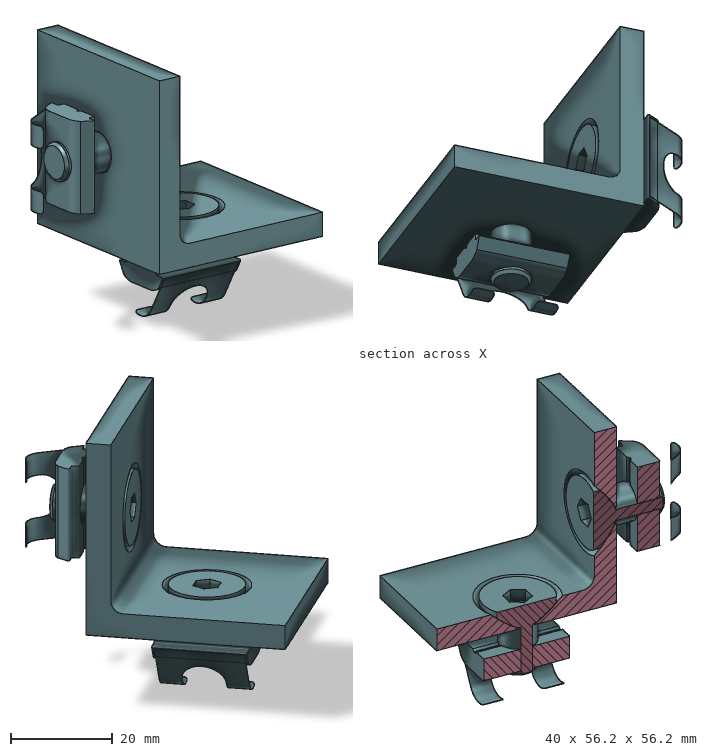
import cadquery as cq
import math


leg_length = 40.0
bracket_width = leg_length
plate_thickness = 5.0
bend_radius = 2.55
screw_offset = leg_length / 2

thread_diameter = 8.0
tip_diameter = 6.8
tip_length = 0.7
head_diameter = 15.2
screw_length = 16.0
head_rise = 0.15
plain_shank_depth = 1.0
socket_width = 5.0
socket_depth = 2.55
socket_point_depth = 0.85

hole_diameter = 8.4
countersink_diameter = 17.6

nut_length = 19.15
nut_top_depth = 4.6
ledge_depth = 6.1
shoulder_depth = 8.65
nut_bottom_depth = 9.7
neck_half_width = 5.0
neck_corner_radius = 0.15
ledge_half_width = 7.2
ledge_tip_radius = 0.2
ledge_root_radius = 0.4
bottom_half_width = 3.0
flank_tilt = math.radians(30)
groove_half_width = 0.75
groove_depth = 0.5
groove_wall_depth = 0.45

spring_thickness = 0.1
spring_length = 18.15
spring_bottom_depth = 16.2
spring_bend_radius = 4.05
spring_end_x = -2.85
spring_corner_radius = 0.85
notch_radius = 4.45


def flank_x(depth):
    """Half width of the nut at a depth on its straight tilted flank."""
    return ledge_half_width - (depth - ledge_depth) * math.tan(flank_tilt)


def make_screw_hole():
    """Cutter for the countersunk hole through a plate."""
    hole_radius = hole_diameter / 2
    sink_radius = countersink_diameter / 2
    cone_bottom = plate_thickness - (sink_radius - hole_radius)
    return (
        cq.Workplane("XZ")
        .polyline([
            (0, 0),
            (hole_radius, 0),
            (hole_radius, cone_bottom),
            (sink_radius, plate_thickness),
            (0, plate_thickness),
        ])
        .close()
        .revolve(360, (0, 0), (0, 1))
    )


def make_bracket():
    inner_length = leg_length - plate_thickness
    angle = (
        cq.Workplane("YZ")
        .rect(leg_length, leg_length, centered=False)
        .extrude(bracket_width / 2, both=True)
    )
    inside = (
        cq.Workplane("YZ", origin=(0, plate_thickness, plate_thickness))
        .rect(inner_length, inner_length, centered=False)
        .extrude(bracket_width / 2, both=True)
        .edges("|X and <Y and <Z")
        .fillet(bend_radius)
    )
    bracket = angle.cut(inside)
    for hole in place_on_plates(make_screw_hole()):
        bracket = bracket.cut(cq.Workplane(hole))
    return bracket


def make_screw():
    head_top = plate_thickness + head_rise
    thread_radius = thread_diameter / 2
    head_radius = head_diameter / 2
    tip_radius = tip_diameter / 2
    tip_z = head_top - screw_length
    rim_bottom = plate_thickness - (countersink_diameter / 2 - head_radius)
    body = (
        cq.Workplane("XZ")
        .polyline([
            (0, tip_z),
            (tip_radius, tip_z),
            (thread_radius, tip_z + tip_length),
            (thread_radius, -plain_shank_depth),
            (thread_radius, rim_bottom - (head_radius - thread_radius)),
            (head_radius, rim_bottom),
            (head_radius, head_top),
            (0, head_top),
        ])
        .close()
        .revolve(360, (0, 0), (0, 1), clean=False)
    )
    return body.cut(make_socket(head_top), clean=False)


def make_socket(head_top):
    """Cutter for the hexagon socket, which ends in a conical drill point."""
    corner_radius = socket_width / 2 / math.cos(math.pi / 6)
    full_depth = socket_depth + socket_point_depth
    hexagon = (
        cq.Workplane("XY", origin=(0, 0, head_top - full_depth))
        .polygon(6, 2 * corner_radius)
        .extrude(full_depth)
    )
    drilled = (
        cq.Workplane("XZ")
        .polyline([
            (0, head_top - full_depth),
            (corner_radius, head_top - socket_depth),
            (corner_radius, head_top),
            (0, head_top),
        ])
        .close()
        .revolve(360, (0, 0), (0, 1))
    )
    return hexagon.intersect(drilled)


def make_nut_block():
    shoulder_half_width = flank_x(shoulder_depth)
    floor_to_shoulder = nut_bottom_depth - shoulder_depth
    curve_width = shoulder_half_width - bottom_half_width
    curve_radius = (curve_width**2 + floor_to_shoulder**2) / (2 * floor_to_shoulder)
    block = (
        cq.Workplane("XZ")
        .moveTo(-neck_half_width, -nut_top_depth)
        .lineTo(neck_half_width, -nut_top_depth)
        .lineTo(neck_half_width, -ledge_depth)
        .lineTo(ledge_half_width, -ledge_depth)
        .lineTo(shoulder_half_width, -shoulder_depth)
        .radiusArc((bottom_half_width, -nut_bottom_depth), curve_radius)
        .lineTo(-bottom_half_width, -nut_bottom_depth)
        .radiusArc((-shoulder_half_width, -shoulder_depth), curve_radius)
        .lineTo(-ledge_half_width, -ledge_depth)
        .lineTo(-neck_half_width, -ledge_depth)
        .close()
        .extrude(nut_length / 2, both=True)
    )
    block = block.edges("|Y and >Z").fillet(neck_corner_radius)
    for tip in ("|Y and >X", "|Y and <X"):
        block = block.edges(tip).fillet(ledge_tip_radius)
    for side in (-1, 1):
        ledge_root = cq.selectors.NearestToPointSelector((side * neck_half_width, 0, -ledge_depth))
        block = block.edges("|Y").edges(ledge_root).fillet(ledge_root_radius)
    return block.cut(make_groove())


def make_groove():
    """Cutter for the V groove with a rounded bottom along the top of the nut."""
    bottom_half_width = groove_half_width - groove_wall_depth
    wall_end = -nut_top_depth - groove_wall_depth
    return (
        cq.Workplane("XZ")
        .moveTo(-groove_half_width, -nut_top_depth)
        .lineTo(-bottom_half_width, wall_end)
        .threePointArc((0, -nut_top_depth - groove_depth), (bottom_half_width, wall_end))
        .lineTo(groove_half_width, -nut_top_depth)
        .close()
        .extrude(nut_length / 2, both=True)
    )


def make_spring():
    """Thin leaf that lies on the flank, runs on below the nut and curls under the screw."""
    normal_x = math.cos(flank_tilt)
    normal_z = -math.sin(flank_tilt)
    half_length = spring_length / 2

    flank_angle = math.pi / 2 - flank_tilt
    tip_tangent_length = ledge_tip_radius / math.tan(flank_angle / 2)
    start_depth = ledge_depth + tip_tangent_length * math.cos(flank_tilt)
    start_x = flank_x(start_depth)

    inner_radius = spring_bend_radius - spring_thickness
    centre_z = spring_bend_radius - spring_bottom_depth
    bend_z = centre_z + inner_radius * normal_z
    bend_x = flank_x(-bend_z)
    centre_x = bend_x - inner_radius * normal_x
    end_angle = math.acos((spring_end_x - centre_x) / spring_bend_radius)

    def on_bend(radius, angle):
        return (centre_x + radius * math.cos(angle), centre_z - radius * math.sin(angle))

    leaf = (
        cq.Workplane("XZ")
        .moveTo(start_x, -start_depth)
        .lineTo(bend_x, bend_z)
        .threePointArc(on_bend(inner_radius, math.pi / 2), on_bend(inner_radius, end_angle))
        .lineTo(*on_bend(spring_bend_radius, end_angle))
        .threePointArc(on_bend(spring_bend_radius, math.pi / 2), on_bend(spring_bend_radius, flank_tilt))
        .lineTo(start_x + spring_thickness * normal_x, -start_depth + spring_thickness * normal_z)
        .close()
        .extrude(half_length, both=True)
    )

    notch_end = (
        cq.Workplane(cq.Plane((bend_x, 0, bend_z), (0, 1, 0), (normal_x, 0, normal_z)))
        .circle(notch_radius)
        .extrude(2 * spring_thickness, both=True)
    )
    notch_run = (
        cq.Workplane("XY", origin=(bend_x, 0, -spring_bottom_depth))
        .rect(2 * (bend_x - spring_end_x), 2 * notch_radius)
        .extrude(spring_bottom_depth + bend_z)
    )
    legs = leaf.cut(notch_end).cut(notch_run)
    return legs.faces("<X").edges("#Y").fillet(spring_corner_radius)


def make_nut():
    thread_hole = cq.Workplane("XY").circle(thread_diameter / 2).extrude(-nut_bottom_depth)
    return make_nut_block().union(make_spring()).cut(thread_hole)


def place_on_plates(local_body):
    """Copies of a body below the floor plate and, by a half turn about the mitre line, behind the wall."""
    below_floor = local_body.solids().val().moved(cq.Location(cq.Vector(0, screw_offset, 0)))
    behind_wall = below_floor.rotate(cq.Vector(0, 0, 0), cq.Vector(0, 1, 1), 180)
    return [below_floor, behind_wall]


bracket = make_bracket()
screws = place_on_plates(make_screw())
nuts = place_on_plates(make_nut())
result = cq.Compound.makeCompound([bracket.solids().val(), *screws, *nuts])